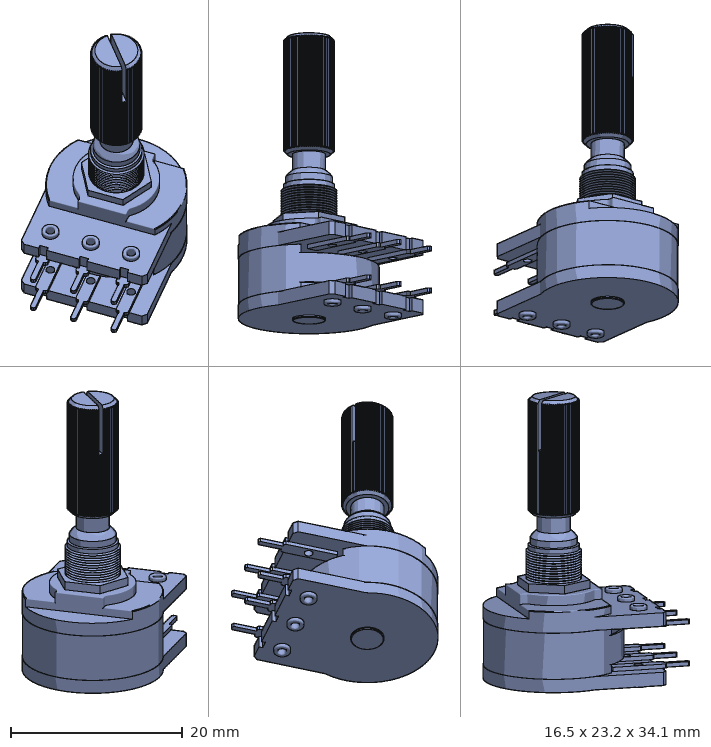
import cadquery as cq
import math


deck_radius = 16.5 / 2
cup_outer_radius = 16.4 / 2
deck_thickness = 1.6
deck_half_width = 7.8
deck_front_y = -11.5
deck_corner_chamfer = 0.5
back_boss_radius = 3.9 / 2
back_boss_height = 0.25
back_boss_chamfer = 0.1

cup_height = 5.5
cup_inner_radius = 15.8 / 2
cup_floor_thickness = 0.2
cup_window_height = 1.0
cup_window_width = 12.9
cup_window_back_y = -4.5

lower_deck_top = deck_thickness
upper_deck_bottom = lower_deck_top + cup_height
upper_deck_top = upper_deck_bottom + deck_thickness

terminal_pitch = 5.0
terminal_thickness = 0.5
terminal_back_y = -5.5
terminal_shoulder_y = -12.05
terminal_tip_y = -15.0
terminal_width = 1.5
terminal_shoulder_chamfer = 0.2
prong_width = 0.65
prong_tip_chamfer = 0.2
deck_notch_width = 1.0
deck_notch_depth = 0.45
rivet_y = -8.82
rivet_head_radius = 2.0 / 2
rivet_head_height = 0.5
rivet_head_fillet = 0.2
rivet_hole_radius = 1.0 / 2

bracket_half_depth = 5.0
bracket_base_height = 1.0
bracket_step_height = 1.2
bracket_collar_radius = 5.05
bracket_neck_half_width = 3.0
bracket_inner_fillet = 0.7
bracket_edge_fillet = 0.1
bracket_base_top = upper_deck_top + bracket_base_height
bracket_top = bracket_base_top + bracket_step_height

nut_across_flats = 7.5
nut_height = 1.0
nut_top = bracket_top + nut_height

thread_crest_radius = 6.5 / 2
thread_root_radius = 6.0 / 2
thread_pitch = 0.3
thread_turns = 12
thread_hidden_length = 0.1
bushing_plain_length = 0.55
thread_start = nut_top - thread_hidden_length
thread_top = thread_start + thread_turns * thread_pitch
bushing_top = thread_top + bushing_plain_length

shaft_top = 33.6
journal_radius = 4.6 / 2
collar_gap = 0.1
collar_radius = 5.5 / 2
collar_height = 0.8
dome_height = 0.8
dome_bulge = 0.08
neck_radius = 3.9 / 2
knob_bottom = 19.6
knob_radius = 6.0 / 2
knob_chamfer = 0.5
knurl_teeth = 72
knurl_depth = 0.15
slot_width = 0.5
slot_depth = 6.0
slot_angle = -51.5


def disc(radius, bottom, top):
    return cq.Workplane("XY").workplane(offset=bottom).circle(radius).extrude(top - bottom)


def block(x_size, y_min, y_max, z_min, z_max):
    """Box centred on X = 0 between the given Y and Z limits."""
    return (
        cq.Workplane("XY")
        .box(x_size, y_max - y_min, z_max - z_min, centered=(True, False, False))
        .translate((0, y_min, z_min))
    )


def make_deck():
    """Lower deck with its terminals and rivets, terminals on top and rivet heads below."""
    tongue = block(2 * deck_half_width, deck_front_y, 0, 0, deck_thickness)
    tongue = tongue.edges("|Z and <Y").chamfer(deck_corner_chamfer)
    deck = disc(deck_radius, 0, deck_thickness).union(tongue)
    notch = block(deck_notch_width, deck_front_y, deck_front_y + deck_notch_depth, 0, deck_thickness)
    for index in (-1, 0, 1):
        x = index * terminal_pitch
        deck = deck.cut(notch.translate((x, 0, 0)))
        deck = deck.union(make_terminal().translate((x, 0, deck_thickness)))
        deck = deck.union(make_rivet_head().translate((x, rivet_y, 0)))
        rivet_hole = disc(rivet_hole_radius, -rivet_head_height, deck_thickness + terminal_thickness)
        deck = deck.cut(rivet_hole.translate((x, rivet_y, 0)))
    return deck


def make_terminal():
    """Flat solder terminal lying on Z = 0, with a narrow prong pointing to -Y."""
    body = block(terminal_width, terminal_shoulder_y, terminal_back_y, 0, terminal_thickness)
    body = body.edges("|Z and <Y").chamfer(terminal_shoulder_chamfer)
    prong = block(prong_width, terminal_tip_y, terminal_shoulder_y, 0, terminal_thickness)
    prong = prong.edges("|Z and <Y").chamfer(prong_tip_chamfer)
    return body.union(prong)


def make_rivet_head():
    """Ring-shaped head hanging below Z = 0, rounded outside and at its hole."""
    head = disc(rivet_head_radius, -rivet_head_height, 0).cut(disc(rivet_hole_radius, -rivet_head_height, 0))
    return head.faces("<Z").edges().fillet(rivet_head_fillet)


def make_back_boss():
    """Low chamfered boss under the middle of the lower deck."""
    return disc(back_boss_radius, -back_boss_height, 0).faces("<Z").edges().chamfer(back_boss_chamfer)


def make_cup():
    """Thin cup between the decks, with two low windows facing the terminals."""
    cup = disc(cup_outer_radius, lower_deck_top, upper_deck_bottom)
    cup = cup.cut(disc(cup_inner_radius, lower_deck_top + cup_floor_thickness, upper_deck_bottom))
    for bottom in (lower_deck_top, upper_deck_bottom - cup_window_height):
        top = bottom + cup_window_height
        cup = cup.cut(block(cup_window_width, -cup_outer_radius, cup_window_back_y, bottom, top))
    return cup


def make_bracket():
    """Round base plate with flat front and back, and a raised collar that has a neck each way."""
    base = disc(deck_radius, upper_deck_top, bracket_base_top)
    base = base.intersect(
        block(2 * deck_radius, -bracket_half_depth, bracket_half_depth, upper_deck_top, bracket_base_top)
    )
    base = base.faces(">Z").edges().fillet(bracket_edge_fillet)

    neck = block(
        2 * bracket_neck_half_width, -bracket_half_depth, bracket_half_depth, upper_deck_top, bracket_top
    )
    neck = neck.edges("|Z").fillet(bracket_edge_fillet)
    collar = disc(bracket_collar_radius, upper_deck_top, bracket_top)
    collar = collar.intersect(
        block(2 * deck_radius, -bracket_half_depth, bracket_half_depth, upper_deck_top, bracket_top)
    )
    meeting_y = math.sqrt(bracket_collar_radius**2 - bracket_neck_half_width**2)
    reach = bracket_edge_fillet
    step = neck.union(collar)
    for x in (-bracket_neck_half_width, bracket_neck_half_width):
        for y in (-meeting_y, meeting_y):
            corner = cq.selectors.BoxSelector(
                (x - reach, y - reach, upper_deck_top), (x + reach, y + reach, bracket_top)
            )
            step = step.edges("|Z").edges(corner).fillet(bracket_inner_fillet)
    step = step.faces(">Z").edges().fillet(bracket_edge_fillet)
    return base.union(step)


def make_nut():
    across_corners = nut_across_flats / math.cos(math.pi / 6)
    return cq.Workplane("XY").workplane(offset=bracket_top).polygon(6, across_corners).extrude(nut_height)


def make_bushing():
    """Bushing with ring-shaped thread ridges above the nut and a plain end."""
    profile = cq.Workplane("XZ").moveTo(0, upper_deck_top).lineTo(thread_root_radius, upper_deck_top)
    for turn in range(thread_turns):
        root_z = thread_start + turn * thread_pitch
        profile = profile.lineTo(thread_root_radius, root_z)
        profile = profile.lineTo(thread_crest_radius, root_z + thread_pitch / 2)
    profile = profile.lineTo(thread_root_radius, thread_top).lineTo(thread_root_radius, bushing_top)
    return profile.lineTo(0, bushing_top).close().revolve(360, (0, 0, 0), (0, 1, 0))


def make_housing():
    lower_deck = make_deck()
    middle_z = (lower_deck_top + upper_deck_bottom) / 2
    upper_deck = lower_deck.mirror("XY", (0, 0, middle_z))
    housing = lower_deck.union(make_cup()).union(upper_deck)
    housing = housing.union(make_bracket()).union(make_nut()).union(make_bushing())
    housing = housing.union(make_back_boss())
    return housing.cut(disc(journal_radius, upper_deck_bottom, bushing_top))


def make_shaft():
    """Shaft running from the underside of the upper deck, through the bushing, to the knob."""
    collar_bottom = bushing_top + collar_gap
    collar_top = collar_bottom + collar_height
    dome_top = collar_top + dome_height
    dome_middle_radius = (collar_radius + neck_radius) / 2 + dome_bulge / math.sqrt(2)
    dome_middle_z = (collar_top + dome_top) / 2 + dome_bulge / math.sqrt(2)
    lower_shaft = (
        cq.Workplane("XZ")
        .moveTo(0, upper_deck_bottom)
        .lineTo(journal_radius, upper_deck_bottom)
        .lineTo(journal_radius, collar_bottom)
        .lineTo(collar_radius, collar_bottom)
        .lineTo(collar_radius, collar_top)
        .threePointArc((dome_middle_radius, dome_middle_z), (neck_radius, dome_top))
        .lineTo(neck_radius, knob_bottom)
        .lineTo(0, knob_bottom)
        .close()
        .revolve(360, (0, 0, 0), (0, 1, 0))
    )
    return lower_shaft.union(make_knob())


def make_knob():
    """Knurled end of the shaft, chamfered at both ends, with a deep screwdriver slot."""
    knurl_points = []
    for corner in range(4 * knurl_teeth):
        on_tooth_top = corner % 4 < 2
        radius = knob_radius if on_tooth_top else knob_radius - knurl_depth
        angle = 2 * math.pi * corner / (4 * knurl_teeth)
        knurl_points.append((radius * math.cos(angle), radius * math.sin(angle)))
    knob_height = shaft_top - knob_bottom
    knurl = cq.Workplane("XY").workplane(offset=knob_bottom).polyline(knurl_points).close()
    knurl = knurl.extrude(knob_height)
    envelope = disc(knob_radius, knob_bottom, shaft_top).edges().chamfer(knob_chamfer)
    slot = (
        cq.Workplane("XY")
        .box(2 * knob_radius, slot_width, slot_depth, centered=(True, True, False))
        .translate((0, 0, shaft_top - slot_depth))
        .rotate((0, 0, 0), (0, 0, 1), slot_angle)
    )
    return knurl.intersect(envelope).cut(slot)


housing = make_housing()
shaft = make_shaft()
result = cq.Compound.makeCompound([housing.val(), shaft.val()])